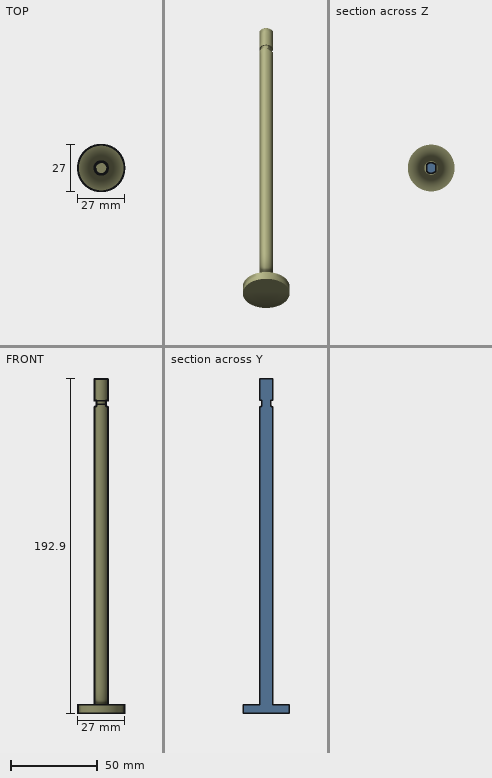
import cadquery as cq
import math

TOTAL_HEIGHT = 192.94
BASE_DIAMETER = 26.99
BASE_THICKNESS = 5.0
ROD_DIAMETER = 7.94
TIP_CHAMFER = 0.5

TIP_LENGTH = 12.7
GROOVE_WIDTH = 2.2
GROOVE_CORE_DIAMETER = 6.5

FLAT_DISTANCE = 2.8
FLAT_HEIGHT = 3.0
FLOOR_ANGLE = 35

GROOVE_TOP = TOTAL_HEIGHT - TIP_LENGTH
GROOVE_BOTTOM = GROOVE_TOP - GROOVE_WIDTH


def make_base():
    return cq.Workplane("XY").circle(BASE_DIAMETER / 2).extrude(BASE_THICKNESS)


def make_rod():
    rod = cq.Workplane("XY").circle(ROD_DIAMETER / 2).extrude(TOTAL_HEIGHT)
    return rod.faces(">Z").chamfer(TIP_CHAMFER)


def make_groove():
    """Ring-shaped cutter that leaves the groove core standing."""
    return (
        cq.Workplane("XY", origin=(0, 0, GROOVE_BOTTOM))
        .circle(ROD_DIAMETER)
        .circle(GROOVE_CORE_DIAMETER / 2)
        .extrude(GROOVE_WIDTH)
    )


def make_side_cut():
    """Cutter for the +X flat: a vertical wall with an outward-sloping floor."""
    outer_x = ROD_DIAMETER
    foot_z = GROOVE_TOP - FLAT_HEIGHT
    floor_drop = (outer_x - FLAT_DISTANCE) * math.tan(math.radians(FLOOR_ANGLE))
    return (
        cq.Workplane("XZ")
        .moveTo(FLAT_DISTANCE, GROOVE_TOP)
        .lineTo(FLAT_DISTANCE, foot_z)
        .lineTo(outer_x, foot_z - floor_drop)
        .lineTo(outer_x, GROOVE_TOP)
        .close()
        .extrude(ROD_DIAMETER, both=True)
    )


right_cut = make_side_cut()
left_cut = right_cut.mirror("YZ")

result = make_base().union(make_rod()).cut(make_groove()).cut(right_cut).cut(left_cut)